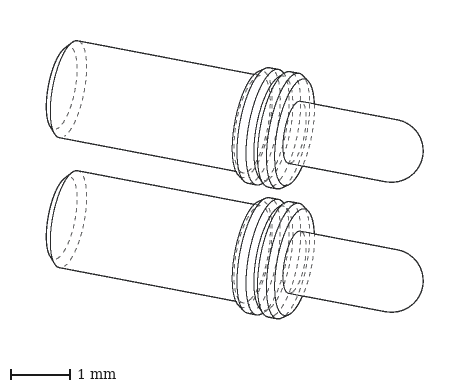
import cadquery as cq
import math

total_length = 6.5
pin_count = 2
pin_pitch = 2.495

barrel_radius = 0.83
barrel_chamfer = 0.125
collar_start = 3.445

collar_diameter = 1.98
collar_radius = collar_diameter / 2
ridge_width = 0.385
ridge_count = 2
bevel_width = 0.12
bevel_depth = 0.08
groove_half_width = 0.105
groove_depth = 0.1
collar_end = collar_start + ridge_count * ridge_width
groove_x = collar_start + ridge_width

plunger_radius = 0.53
dome_start = total_length - plunger_radius
dome_mid_offset = plunger_radius * math.sqrt(0.5)


def spring_pin(center_z):
    """One pin as a profile of (x, radius) revolved around its X axis."""
    profile = (
        cq.Workplane("XY")
        .moveTo(0, 0)
        .lineTo(0, barrel_radius - barrel_chamfer)
        .lineTo(barrel_chamfer, barrel_radius)
        .lineTo(collar_start, barrel_radius)
        .lineTo(collar_start, collar_radius - bevel_depth)
        .lineTo(collar_start + bevel_width, collar_radius)
        .lineTo(groove_x - groove_half_width, collar_radius)
        .lineTo(groove_x, collar_radius - groove_depth)
        .lineTo(groove_x + groove_half_width, collar_radius)
        .lineTo(collar_end - bevel_width, collar_radius)
        .lineTo(collar_end, collar_radius - bevel_depth)
        .lineTo(collar_end, plunger_radius)
        .lineTo(dome_start, plunger_radius)
        .threePointArc(
            (dome_start + dome_mid_offset, dome_mid_offset),
            (total_length, 0),
        )
        .close()
    )
    return profile.revolve(360, (0, 0, 0), (1, 0, 0)).translate((0, 0, center_z))


first_z = -pin_pitch * (pin_count - 1) / 2
pins = [spring_pin(first_z + i * pin_pitch) for i in range(pin_count)]

result = cq.Compound.makeCompound([pin.val() for pin in pins])